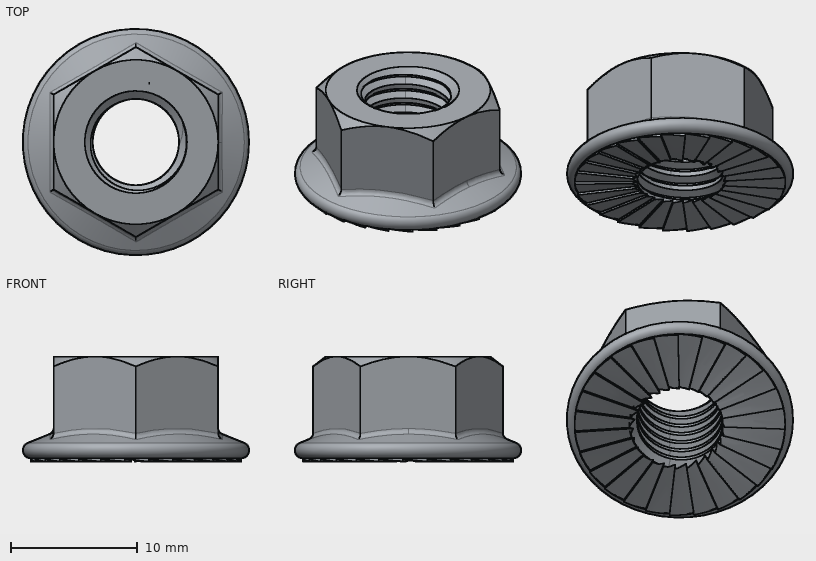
import cadquery as cq
import math

NUT_HEIGHT = 8.3
FLANGE_DIAMETER = 17.9
ACROSS_FLATS = 13.0
HEX_SIDES = 6
HALF_SIDE_ANGLE = 180 / HEX_SIDES
ACROSS_CORNERS = ACROSS_FLATS / math.cos(math.radians(HALF_SIDE_ANGLE))

THREAD_PITCH = 1.25
THREAD_MAJOR_DIAMETER = 8.0
THREAD_MINOR_DIAMETER = 6.8
THREAD_FLANK_ANGLE = 30.0
THREAD_ROOT_WIDTH = THREAD_PITCH / 8
GROOVE_OVERLAP = 0.1
THREAD_START_ANGLE = 138.0
COUNTERSINK_DIAMETER = 8.08
COUNTERSINK_SLOPE = 36.0

CROWN_DIAMETER = ACROSS_FLATS
CROWN_CHAMFER_SLOPE = 38.0
HEX_FILLET_RADIUS = 0.47

RIM_RADIUS = 0.64
RIM_BOTTOM_Z = 0.25
FLANGE_SLOPE = 22.0

TOOTH_COUNT = 27
TOOTH_DEPTH = 0.2
TOOTH_START_ANGLE = 7.2
SERRATION_DIAMETER = 16.65

CLEARANCE = 1.0


def sloped_rise(run, slope_degrees):
    """Height gained over a horizontal run along a slope."""
    return run * math.tan(math.radians(slope_degrees))


def make_flange():
    """Disc with a round rim, a conical top and a flat ring below."""
    rim_centre_radius = FLANGE_DIAMETER / 2 - RIM_RADIUS
    rim_centre_z = RIM_BOTTOM_Z + RIM_RADIUS
    slope = math.radians(FLANGE_SLOPE)
    tangent_radius = rim_centre_radius + RIM_RADIUS * math.sin(slope)
    tangent_z = rim_centre_z + RIM_RADIUS * math.cos(slope)
    cone_apex_z = tangent_z + sloped_rise(tangent_radius, FLANGE_SLOPE)
    serration_radius = SERRATION_DIAMETER / 2
    profile = (
        cq.Workplane("XZ")
        .lineTo(serration_radius, 0)
        .lineTo(serration_radius, RIM_BOTTOM_Z)
        .lineTo(rim_centre_radius, RIM_BOTTOM_Z)
        .threePointArc((FLANGE_DIAMETER / 2, rim_centre_z), (tangent_radius, tangent_z))
        .lineTo(0, cone_apex_z)
        .close()
    )
    return profile.revolve(360, (0, 0, 0), (0, 1, 0))


def make_hex():
    """Hexagonal prism with two corners on the Y axis and a flat at each end of X."""
    return (
        cq.Workplane("XY")
        .workplane(offset=RIM_BOTTOM_Z)
        .polygon(HEX_SIDES, ACROSS_CORNERS)
        .extrude(NUT_HEIGHT - RIM_BOTTOM_Z)
        .rotate((0, 0, 0), (0, 0, 1), HALF_SIDE_ANGLE)
    )


def blend_hex_into_flange(body):
    """Fillet the six edges where the hex flats run into the flange cone."""
    box = cq.selectors.BoxSelector(
        (-FLANGE_DIAMETER, -FLANGE_DIAMETER, RIM_BOTTOM_Z + 2 * RIM_RADIUS),
        (FLANGE_DIAMETER, FLANGE_DIAMETER, NUT_HEIGHT / 2),
    )
    return body.edges(box).edges("not |Z").fillet(HEX_FILLET_RADIUS)


def make_crown_envelope():
    """Cylinder topped by a cone that trims the hex corners."""
    envelope_radius = FLANGE_DIAMETER / 2 + CLEARANCE
    crown_radius = CROWN_DIAMETER / 2
    drop = sloped_rise(envelope_radius - crown_radius, CROWN_CHAMFER_SLOPE)
    profile = (
        cq.Workplane("XZ")
        .lineTo(envelope_radius, 0)
        .lineTo(envelope_radius, NUT_HEIGHT - drop)
        .lineTo(crown_radius, NUT_HEIGHT)
        .lineTo(0, NUT_HEIGHT)
        .close()
    )
    return profile.revolve(360, (0, 0, 0), (0, 1, 0))


def make_bore():
    """Thread core drill with the countersink at the top."""
    minor_radius = THREAD_MINOR_DIAMETER / 2
    mouth_radius = COUNTERSINK_DIAMETER / 2
    depth = sloped_rise(mouth_radius - minor_radius, COUNTERSINK_SLOPE)
    profile = (
        cq.Workplane("XZ")
        .moveTo(0, -CLEARANCE)
        .lineTo(minor_radius, -CLEARANCE)
        .lineTo(minor_radius, NUT_HEIGHT - depth)
        .lineTo(mouth_radius, NUT_HEIGHT)
        .lineTo(0, NUT_HEIGHT)
        .close()
    )
    return profile.revolve(360, (0, 0, 0), (0, 1, 0))


def make_thread_groove():
    """Right-hand helical groove with a 60 degree trapezoidal section, bounded by ruled faces."""
    root_radius = THREAD_MAJOR_DIAMETER / 2
    mouth_radius = THREAD_MINOR_DIAMETER / 2 - GROOVE_OVERLAP
    root_half = THREAD_ROOT_WIDTH / 2
    mouth_half = root_half + sloped_rise(root_radius - mouth_radius, THREAD_FLANK_ANGLE)
    section = [
        (mouth_radius, -mouth_half),
        (root_radius, -root_half),
        (root_radius, root_half),
        (mouth_radius, mouth_half),
    ]
    turn_count = math.ceil(NUT_HEIGHT / THREAD_PITCH) + 2
    faces = []
    end_rings = []
    for turn in range(turn_count):
        start_z = (turn - 1) * THREAD_PITCH
        helices = [
            cq.Wire.makeHelix(THREAD_PITCH, THREAD_PITCH, radius, cq.Vector(0, 0, start_z + offset))
            for radius, offset in section
        ]
        for i in range(len(helices)):
            faces.append(cq.Face.makeRuledSurface(helices[i - 1], helices[i]))
        end_rings.append([helix.positionAt(0) for helix in helices])
        end_rings.append([helix.positionAt(1) for helix in helices])
    for corners in (end_rings[0], end_rings[-1]):
        faces.append(cq.Face.makeFromWires(cq.Wire.makePolygon(corners, close=True)))
    groove = cq.Solid.makeSolid(cq.Shell.makeShell(faces)).fix()
    return cq.Workplane(groove).rotate((0, 0, 0), (0, 0, 1), THREAD_START_ANGLE)


def make_tooth_gap():
    """Sawtooth notch along -Y: upright radial wall on the left, ramp down to the right."""
    outer_radius = FLANGE_DIAMETER / 2
    inner_radius = THREAD_MINOR_DIAMETER / 2 - CLEARANCE
    pitch_slope = math.tan(math.radians(360 / TOOTH_COUNT))
    ramp_extension = 1 + CLEARANCE / TOOTH_DEPTH

    def section(workplane, radius):
        ramp_end = radius * pitch_slope * ramp_extension
        return workplane.polyline([(0, -CLEARANCE), (0, TOOTH_DEPTH), (ramp_end, -CLEARANCE)]).close()

    outer = section(cq.Workplane("XZ", origin=(0, -outer_radius, 0)), outer_radius)
    inner_plane = outer.workplane(offset=inner_radius - outer_radius)
    return section(inner_plane, inner_radius).loft(ruled=True)


def cut_serrations(body):
    """Cut one notch per tooth around the underside of the flange."""
    gap = make_tooth_gap()
    for tooth in range(TOOTH_COUNT):
        angle = TOOTH_START_ANGLE + tooth * 360 / TOOTH_COUNT
        body = body.cut(gap.rotate((0, 0, 0), (0, 0, 1), angle))
    return body


flange = cut_serrations(make_flange())
body = blend_hex_into_flange(flange.union(make_hex()))
body = body.intersect(make_crown_envelope())
body = body.cut(make_thread_groove())
result = body.cut(make_bore())